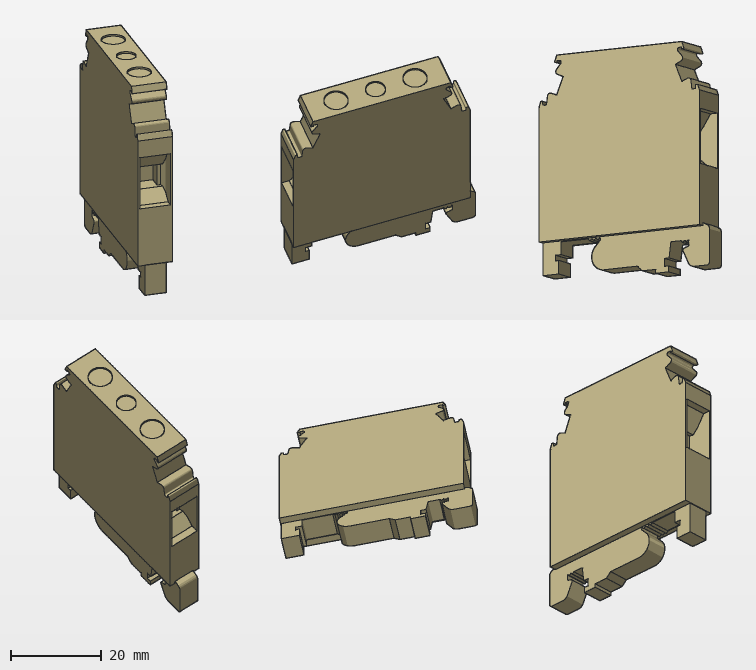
import cadquery as cq
import math


total_height = 50.95
housing_half_length = 20.75
housing_thickness = 8.05
housing_bottom = 9.5
shoulder_height = 39.65
top_half_length = 16.15
lip_underside = 49.65

foot_thickness = 5.0
foot_offset = 0.1
foot_left = -22.5
foot_right = 20.6
foot_overlap_top = 11.7
clamp_roof = 6.65
fixed_roof = 9.3
tooth_depth = 0.45

screw_spacing = 9.25
large_screw_diameter = 5.35
small_screw_diameter = 4.4
screw_recess_depth = 0.4

entry_width = 7.1
entry_bottom = 23.3
entry_top = 35.6
throat_bottom = 25.85
throat_top = 31.2
throat_width = 6.0
ramp_start = 1.8
taper_start = 3.5
ramp_end = 4.7
entry_depth = 5.55
wire_hole_width = 4.5
wire_hole_depth = 3.05


def rounded_outline(corners):
    """Closed XZ outline from (x, z) or (x, z, radius) corners, each radius as a tangent arc."""
    stretches = []
    for i, corner in enumerate(corners):
        here = cq.Vector(corner[0], corner[1])
        if len(corner) == 2:
            stretches.append([here])
            continue
        radius = corner[2]
        before = corners[i - 1]
        after = corners[(i + 1) % len(corners)]
        to_before = (cq.Vector(before[0], before[1]) - here).normalized()
        to_after = (cq.Vector(after[0], after[1]) - here).normalized()
        half_angle = to_before.getAngle(to_after) / 2
        trim = radius / math.tan(half_angle)
        apex_distance = radius / math.sin(half_angle) - radius
        apex = here + (to_before + to_after).normalized() * apex_distance
        stretches.append([here + to_before * trim, apex, here + to_after * trim])

    outline = cq.Workplane("XZ").moveTo(stretches[0][-1].x, stretches[0][-1].y)
    for stretch in stretches[1:] + stretches[:1]:
        outline = outline.lineTo(stretch[0].x, stretch[0].y)
        if len(stretch) == 3:
            outline = outline.threePointArc((stretch[1].x, stretch[1].y), (stretch[2].x, stretch[2].y))
    return outline.close()


def extrude_across(outline, thickness, offset=0):
    """Extrude an XZ outline across the thickness, centred on Y = offset."""
    return outline.extrude(thickness / 2, both=True).translate((0, offset, 0))


def make_housing():
    right_side = [
        (top_half_length, total_height),
        (16.75, 49.3, 0.15),
        (16.05, 49.3),
        (16.05, lip_underside),
        (14.5, lip_underside, 0.45),
        (16.85, 46.95, 0.7),
        (14.5, 45.95),
        (16.2, 41.95),
        (18.45, 42.9, 0.7),
        (18.8, 40.05, 0.2),
        (19.75, 40.05, 0.3),
        (19.75, 40.95, 0.1),
        (20.25, 40.95, 0.1),
        (housing_half_length, shoulder_height),
        (housing_half_length, housing_bottom),
    ]
    left_side = [(-corner[0], *corner[1:]) for corner in reversed(right_side)]
    return extrude_across(rounded_outline(right_side + left_side), housing_thickness)


def teeth(first_valley, pitch, count, roof):
    """Zigzag of grip teeth hanging from a slot roof, from the first valley to the last."""
    points = [(first_valley, roof)]
    for i in range(count):
        points.append((first_valley + (i + 0.5) * pitch, roof - tooth_depth))
        points.append((first_valley + (i + 1) * pitch, roof))
    return points


def make_foot():
    clamp_hook = [
        (-17.4, foot_overlap_top),
        (foot_left, 9.3, 1.2),
        (foot_left, 0.6, 0.75),
        (-17.4, 0.6, 1.65),
        (-15.4, 4.8, 0.45),
        (-17.05, 5.35, 0.2),
        (-17.05, clamp_roof),
    ]
    clamp_slot = teeth(-16.9, 0.9, 2, clamp_roof) + [
        (-12.5, clamp_roof, 0.2),
        (-12.0, 3.1),
        (-10.8, 3.1),
        (-10.8, 1.3),
        (-11.85, 1.3),
        (-11.85, 0),
        (-8.5, 0),
        (-8.5, 0.85),
        (-5.1, 0.85),
        (-3.75, 2.05),
    ]
    tongue = [
        (8.0, 2.05, 3.1),
        (8.0, 6.5, 3.1),
        (5.6, 8.9, 0.15),
    ]
    fixed_slot = teeth(5.9, 1.0, 3, fixed_roof) + [
        (15.9, fixed_roof, 0.25),
        (15.9, 6.45),
        (17.35, 6.45),
        (17.35, 5.25),
        (16.5, 5.25),
        (16.5, 2.2),
        (foot_right, 2.2),
        (foot_right, foot_overlap_top),
    ]
    outline = rounded_outline(clamp_hook + clamp_slot + tongue + fixed_slot)
    return extrude_across(outline, foot_thickness, foot_offset)


def make_screw_recesses():
    top = cq.Workplane("XY").workplane(offset=total_height)
    large = top.pushPoints([(-screw_spacing, 0), (screw_spacing, 0)])
    large = large.circle(large_screw_diameter / 2).extrude(-screw_recess_depth)
    small = top.circle(small_screw_diameter / 2).extrude(-screw_recess_depth)
    return large.union(small)


def make_left_wire_entry():
    wall = -housing_half_length
    back = wall + entry_depth
    side_shape = rounded_outline([
        (wall, entry_bottom),
        (wall + ramp_start, entry_bottom),
        (wall + ramp_end, throat_bottom),
        (back, throat_bottom),
        (back, throat_top),
        (wall + ramp_end, throat_top),
        (wall + ramp_start, entry_top),
        (wall, entry_top),
    ])
    plan = [
        (wall, entry_width / 2),
        (wall + taper_start, entry_width / 2),
        (back, throat_width / 2),
    ]
    plan += [(x, -y) for x, y in reversed(plan)]
    plan_shape = cq.Workplane("XY").polyline(plan).close().extrude(total_height)
    funnel = extrude_across(side_shape, entry_width).intersect(plan_shape)
    wire_hole = cq.Workplane("XY").box(
        wire_hole_depth, wire_hole_width, throat_top - throat_bottom, centered=(False, True, False)
    ).translate((back, 0, throat_bottom))
    return funnel.union(wire_hole)


left_entry = make_left_wire_entry()
result = (
    make_housing()
    .union(make_foot())
    .cut(make_screw_recesses())
    .cut(left_entry)
    .cut(left_entry.mirror("YZ"))
)